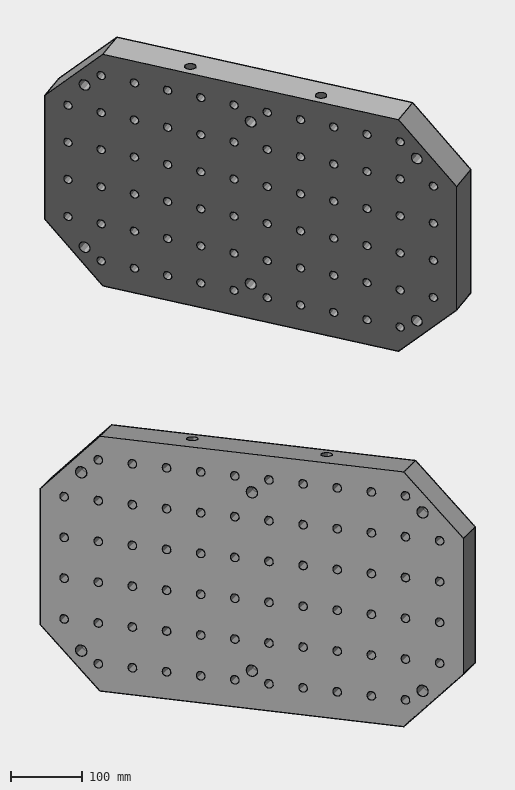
import cadquery as cq

INCH = 25.4

plate_width = 630.0
plate_height = 15 * INCH
plate_thickness = 2 * INCH
corner_cut = 3.5 * INCH

grid_diameter = INCH / 2
grid_columns = 12
grid_rows = 6
grid_pitch_x = 2 * INCH
grid_pitch_z = 2.4 * INCH
grid_offset_z = 2.5

mount_diameter = INCH * 21 / 32
mount_spacing_x = 10 * INCH
mount_spacing_z = 10.5 * INCH

edge_hole_diameter = INCH * 5 / 8
edge_hole_depth = 40.0
edge_hole_spacing = 200.0
edge_hole_y = -7.4


def make_plate():
    """Slab with its four corners cut at 45 degrees."""
    slab = cq.Workplane("XY").box(plate_width, plate_thickness, plate_height)
    return slab.edges("|Y").chamfer(corner_cut)


def through_holes(points, diameter):
    """Cylinders along Y, long enough to pass through the plate, at (x, z) points."""
    return (
        cq.Workplane("XZ")
        .pushPoints(points)
        .circle(diameter / 2)
        .extrude(plate_thickness, both=True)
    )


def grid_points():
    """Hole centres of the grid; the end rows skip their end columns, which meet the cut corners."""
    points = []
    for row in range(grid_rows):
        skipped = 1 if row in (0, grid_rows - 1) else 0
        z = grid_offset_z + (row - (grid_rows - 1) / 2) * grid_pitch_z
        for column in range(skipped, grid_columns - skipped):
            x = (column - (grid_columns - 1) / 2) * grid_pitch_x
            points.append((x, z))
    return points


def mount_points():
    """Centres of the larger holes: three across, in a lower and an upper row."""
    return [
        (side * mount_spacing_x, level * mount_spacing_z / 2)
        for side in (-1, 0, 1)
        for level in (-1, 1)
    ]


def edge_holes():
    """Flat-bottomed cylinders sunk into the upper edge of the plate."""
    points = [(side * edge_hole_spacing / 2, edge_hole_y) for side in (-1, 1)]
    return (
        cq.Workplane("XY", origin=(0, 0, plate_height / 2))
        .pushPoints(points)
        .circle(edge_hole_diameter / 2)
        .extrude(-edge_hole_depth)
    )


result = (
    make_plate()
    .cut(through_holes(grid_points(), grid_diameter))
    .cut(through_holes(mount_points(), mount_diameter))
    .cut(edge_holes())
)